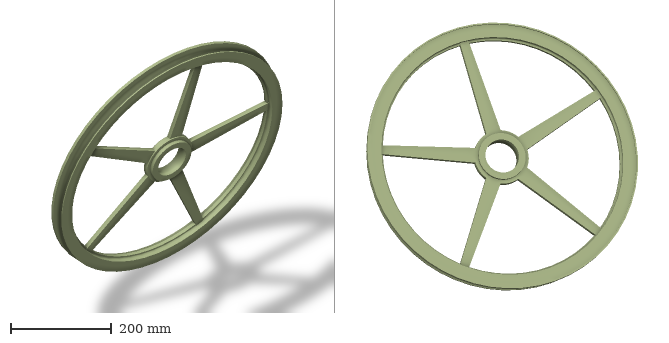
import cadquery as cq
import math

width = 30.0
outer_radius = 274.0
right_flange_radius = 540.0 / 2
groove_center_x = 17.0
web_center_x = width / 2

groove_radius = 10.0
groove_flat_width = 1.5
groove_width = 2 * groove_radius + groove_flat_width
groove_floor_radius = 500.0 / 2
groove_left = groove_center_x - groove_width / 2
groove_right = groove_center_x + groove_width / 2
groove_arc_radius = groove_floor_radius + groove_radius

face_recess = 3.5
lip_inner_radius = 542.0 / 2

ledge_radius = 490.0 / 2
band_radius = 240.5
band_width = 7.0
band_left = web_center_x - band_width / 2
band_right = web_center_x + band_width / 2
ledge_fillet = 1.5

bore_diameter = 68.0
collar_diameter = 95.0
collar_length = 25.0
collar_left = groove_center_x - collar_length / 2
hub_diameter = 110.0
hub_length = 11.5

spoke_thickness = 9.5
spoke_left = web_center_x - spoke_thickness / 2
spoke_count = 5
spoke_root_radius = 49.5
spoke_tip_radius = 246.0
spoke_root_width = 30.5
spoke_tip_width = 18.0


def make_rim():
    """Revolve the rim section, drawn as (x, radius), about the X axis."""
    groove_mid = groove_radius * (1 - math.sqrt(0.5))
    fillet_mid = ledge_fillet * (1 - math.sqrt(0.5))
    section = (
        cq.Workplane("XY")
        .moveTo(0, lip_inner_radius)
        .lineTo(0, outer_radius)
        .lineTo(groove_left, outer_radius)
        .lineTo(groove_left, groove_arc_radius)
        .threePointArc(
            (groove_left + groove_mid, groove_floor_radius + groove_mid),
            (groove_left + groove_radius, groove_floor_radius),
        )
        .lineTo(groove_right - groove_radius, groove_floor_radius)
        .threePointArc(
            (groove_right - groove_mid, groove_floor_radius + groove_mid),
            (groove_right, groove_arc_radius),
        )
        .lineTo(groove_right, right_flange_radius)
        .lineTo(width, right_flange_radius)
        .lineTo(width, ledge_radius)
        .lineTo(band_right + ledge_fillet, ledge_radius)
        .threePointArc(
            (band_right + fillet_mid, ledge_radius - fillet_mid),
            (band_right, ledge_radius - ledge_fillet),
        )
        .lineTo(band_right, band_radius)
        .lineTo(band_left, band_radius)
        .lineTo(band_left, ledge_radius - ledge_fillet)
        .threePointArc(
            (band_left - fillet_mid, ledge_radius - fillet_mid),
            (band_left - ledge_fillet, ledge_radius),
        )
        .lineTo(face_recess, ledge_radius)
        .lineTo(face_recess, lip_inner_radius)
        .close()
    )
    return section.revolve(360, (0, 0, 0), (1, 0, 0))


def make_disc(diameter, length, left):
    """Disc on the X axis, starting at x = left."""
    return (
        cq.Workplane("YZ", origin=(left, 0, 0))
        .circle(diameter / 2)
        .extrude(length)
    )


def make_spoke(angle):
    """Tapered flat spoke, turned about X from the +Y direction."""
    return (
        cq.Workplane("YZ", origin=(spoke_left, 0, 0))
        .polyline([
            (spoke_root_radius, -spoke_root_width / 2),
            (spoke_tip_radius, -spoke_tip_width / 2),
            (spoke_tip_radius, spoke_tip_width / 2),
            (spoke_root_radius, spoke_root_width / 2),
        ])
        .close()
        .extrude(spoke_thickness)
        .rotate((0, 0, 0), (1, 0, 0), angle)
    )


wheel = make_rim()
wheel = wheel.union(make_disc(hub_diameter, hub_length, spoke_left))
wheel = wheel.union(make_disc(collar_diameter, collar_length, collar_left))
for index in range(spoke_count):
    wheel = wheel.union(make_spoke(index * 360 / spoke_count))

result = wheel.cut(make_disc(bore_diameter, collar_length, collar_left))